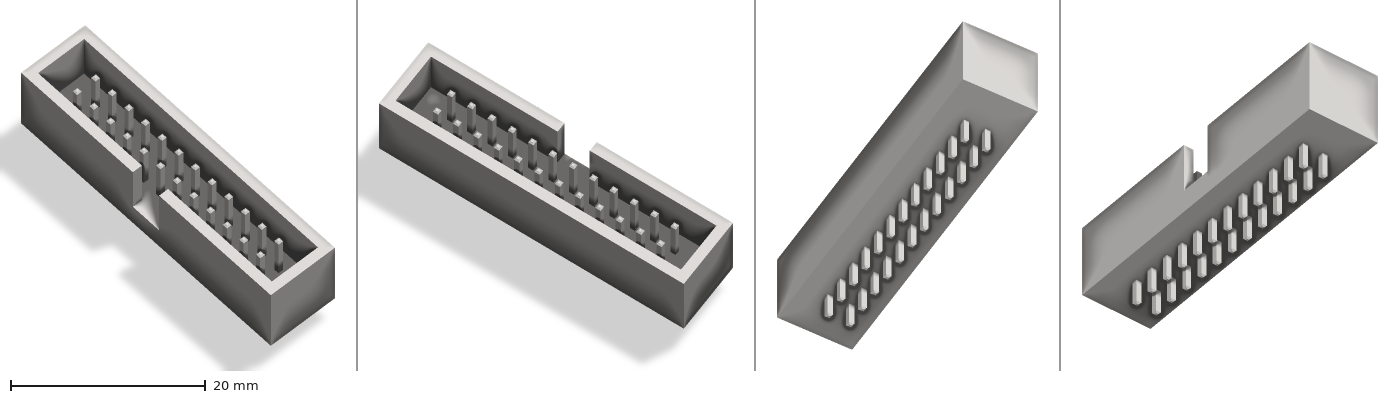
import cadquery as cq

length = 38.1
width = 8.9
height = 8.9
end_wall = 1.22
side_wall = 1.25
cavity_depth = 6.1
key_slot_width = 4.0

column_count = 12
row_count = 2
pitch = length / 15
pin_side = 0.65
pin_below = 2.97
pin_top_gap = 0.88
tip_chamfer = 0.2

floor_height = height - cavity_depth
pin_length = pin_below + height - pin_top_gap


def make_shroud():
    body = cq.Workplane("XY").box(length, width, height, centered=(True, True, False))
    cavity = (
        cq.Workplane("XY", origin=(0, 0, floor_height))
        .rect(length - 2 * end_wall, width - 2 * side_wall)
        .extrude(cavity_depth)
    )
    key_slot = (
        cq.Workplane("XY", origin=(0, -(width - side_wall) / 2, floor_height))
        .rect(key_slot_width, side_wall)
        .extrude(cavity_depth)
    )
    return body.cut(cavity).cut(key_slot)


def make_pin():
    return (
        cq.Workplane("XY", origin=(0, 0, -pin_below))
        .rect(pin_side, pin_side)
        .extrude(pin_length)
        .faces(">Z").chamfer(tip_chamfer)
        .faces("<Z").chamfer(tip_chamfer)
    )


def add_pins(body):
    pin = make_pin()
    for column in range(column_count):
        for row in range(row_count):
            x = (column - (column_count - 1) / 2) * pitch
            y = (row - (row_count - 1) / 2) * pitch
            body = body.union(pin.translate((x, y, 0)))
    return body


result = add_pins(make_shroud())